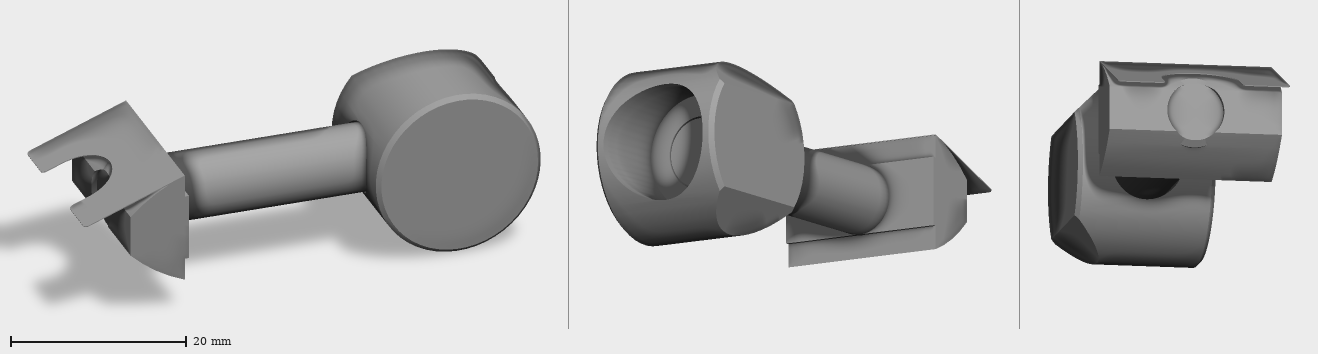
import cadquery as cq
import math

barrel_diameter = 20.0
barrel_length = 16.0
barrel_chamfer = 0.5
flat_half_height = 6.0
bore_diameter = 13.5
bore_floor_y = 0.0
bolt_clearance_diameter = 8.4

bolt_diameter = 8.0
bolt_tip_diameter = 6.6
bolt_tip_y = -39.9

nut_width = 20.0
nut_half_height = 6.7
nut_shoulder_y = -34.0
nut_depth = 6.55
nut_nose_half_height = 2.45
rib_half_height = 4.0
rib_depth = 0.5
leaf_reach = 12.1
leaf_angle = 20.8
leaf_thickness = 0.1
leaf_slot_width = 9.0
leaf_slot_depth = 7.1
leaf_corner_radius = 0.55

barrel_radius = barrel_diameter / 2
nut_nose_y = nut_shoulder_y - nut_depth
rib_back_y = nut_shoulder_y + rib_depth


def rod_along_y(diameter, start_y, end_y):
    """Round rod on the Y axis, from start_y down to end_y."""
    rod = cq.Workplane("XZ", origin=(0, start_y, 0)).circle(diameter / 2)
    return rod.extrude(start_y - end_y)


def make_barrel():
    end_x = -barrel_length / 2
    body = cq.Workplane("YZ", origin=(end_x, 0, 0)).circle(barrel_radius).extrude(barrel_length)
    body = body.faces("<X or >X").chamfer(barrel_chamfer)

    bevel_size = barrel_radius - flat_half_height
    for side in (1, -1):
        bevel = (
            cq.Workplane("XZ")
            .moveTo(end_x, side * flat_half_height)
            .lineTo(end_x + bevel_size, side * barrel_radius)
            .lineTo(end_x, side * barrel_radius)
            .close()
            .extrude(barrel_radius, both=True)
        )
        body = body.cut(bevel)

    bore = rod_along_y(bore_diameter, barrel_radius, bore_floor_y)
    clearance = rod_along_y(bolt_clearance_diameter, bore_floor_y, -barrel_radius)
    return body.cut(bore).cut(clearance)


def make_bolt():
    tip_chamfer = (bolt_diameter - bolt_tip_diameter) / 2
    return rod_along_y(bolt_diameter, bore_floor_y, bolt_tip_y).faces("<Y").chamfer(tip_chamfer)


def make_nut_bar():
    flank_drop = nut_half_height - nut_nose_half_height
    chord_angle = math.atan2(flank_drop, nut_depth)
    half_turn = chord_angle - math.radians(leaf_angle)
    half_chord = math.hypot(nut_depth, flank_drop) / 2
    bulge = half_chord * math.tan(half_turn / 2)
    middle_y = nut_shoulder_y - nut_depth / 2 - bulge * math.sin(chord_angle)
    middle_z = (nut_half_height + nut_nose_half_height) / 2 + bulge * math.cos(chord_angle)

    return (
        cq.Workplane("YZ", origin=(-nut_width / 2, 0, 0))
        .moveTo(nut_shoulder_y, nut_half_height)
        .threePointArc((middle_y, middle_z), (nut_nose_y, nut_nose_half_height))
        .lineTo(nut_nose_y, -nut_nose_half_height)
        .threePointArc((middle_y, -middle_z), (nut_shoulder_y, -nut_half_height))
        .lineTo(nut_shoulder_y, -rib_half_height)
        .lineTo(rib_back_y, -rib_half_height)
        .lineTo(rib_back_y, rib_half_height)
        .lineTo(nut_shoulder_y, rib_half_height)
        .close()
        .extrude(nut_width)
    )


def make_leaf():
    length = leaf_reach / math.cos(math.radians(leaf_angle))
    slot_radius = leaf_slot_width / 2
    slot_centre_y = -length + leaf_slot_depth - slot_radius
    half_width = nut_width / 2
    leaf = (
        cq.Workplane("XY")
        .moveTo(-half_width, 0)
        .lineTo(-half_width, -length)
        .lineTo(-slot_radius, -length)
        .lineTo(-slot_radius, slot_centre_y)
        .threePointArc((0, slot_centre_y + slot_radius), (slot_radius, slot_centre_y))
        .lineTo(slot_radius, -length)
        .lineTo(half_width, -length)
        .lineTo(half_width, 0)
        .close()
        .extrude(-leaf_thickness)
        .edges("|Z and <Y")
        .fillet(leaf_corner_radius)
    )
    leaf = leaf.rotate((0, 0, 0), (1, 0, 0), leaf_angle)
    return leaf.translate((0, nut_shoulder_y, nut_half_height))


def make_nut(bolt):
    nose_hole = rod_along_y(bolt_tip_diameter, rib_back_y, nut_nose_y)
    bar = make_nut_bar().cut(bolt).cut(nose_hole)
    return bar.union(make_leaf())


barrel = make_barrel()
bolt = make_bolt()
nut = make_nut(bolt)

result = cq.Compound.makeCompound([barrel.val(), bolt.val(), *nut.vals()])